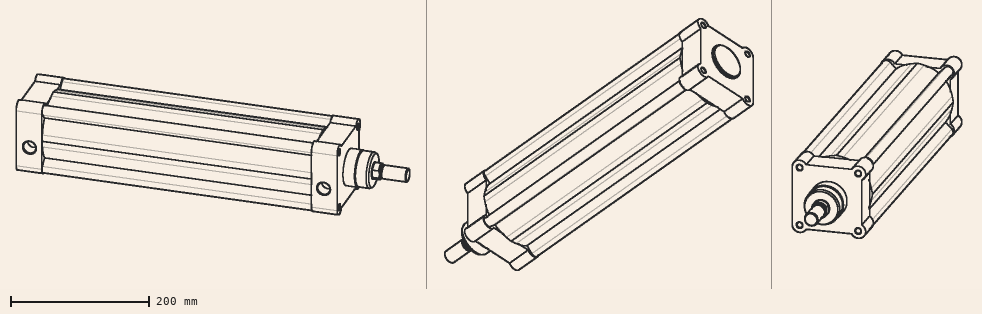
import cadquery as cq
import math


total_length = 582.5
rear_boss_length = 4.0
cap_thickness = 39.0
barrel_length = 410.0
rear_cap_start = rear_boss_length
barrel_start = rear_cap_start + cap_thickness
front_cap_start = barrel_start + barrel_length
nose_start = front_cap_start + cap_thickness

cap_size = 111.5
cap_half = cap_size / 2
corner_offset = 44.0
corner_radius = cap_half - corner_offset
side_recess = 6.0
screw_hole_diameter = 8.0
screw_hole_chamfer = 0.9
screw_hole_depth = 17.5
port_diameter = 18.5
port_chamfer = 1.0
port_depth = 20.5
port_inset = 20.5
port_drop = 12.0

boss_radius = 27.5
rear_boss_chamfer = 2.0
nose_shoulder_chamfer = 1.0
nose_shoulder_length = 18.5
nose_collar_radius = 27.0
nose_collar_length = 20.0
nose_chamfer_length = 3.5
nose_chamfer_depth = 2.0

barrel_diameter = 106.5
barrel_radius = barrel_diameter / 2
ridge_rise = 1.9
ridge_width = 19.0
rib_width = 14.5
rib_offset = 46.5

rod_diameter = 25.0
rod_radius = rod_diameter / 2
rod_end = 532.0
wrench_section_diameter = 24.5
wrench_section_radius = wrench_section_diameter / 2
wrench_section_end = 543.0
wrench_section_chamfer = 2.0
wrench_across_flats = 21.5
relief_length = 2.0
thread_diameter = 20.5
thread_radius = thread_diameter / 2
thread_chamfer = 1.0


def disc(start, radius, length):
    """Cylinder on the main axis, running towards +X."""
    return cq.Workplane("YZ", origin=(start, 0, 0)).circle(radius).extrude(length)


def bar(start, length, y_limits, z_limits):
    """Box given by its start and length in X and its limits in Y and Z."""
    width = y_limits[1] - y_limits[0]
    height = z_limits[1] - z_limits[0]
    origin = (start, y_limits[0], z_limits[0])
    return cq.Workplane("XY", origin=origin).box(length, width, height, centered=False)


def countersunk_hole(mouth, direction, radius, depth, chamfer):
    """Cutter for a blind hole with a 45 degree chamfer at its mouth."""
    inwards = cq.Vector(*direction)
    bore = cq.Solid.makeCylinder(radius, depth, mouth, inwards)
    countersink = cq.Solid.makeCone(radius + chamfer, radius, chamfer, mouth, inwards)
    return cq.Workplane("XY").add(bore.fuse(countersink))


def make_cap_block(start, outer_face, inward):
    """Cap with round corners, recessed on +Y and +/-Z, flat on the port side at -Y."""
    recessed_half = cap_half - side_recess
    corners = [(y, z) for y in (-corner_offset, corner_offset) for z in (-corner_offset, corner_offset)]

    core = bar(start, cap_thickness, (-recessed_half, recessed_half), (-recessed_half, recessed_half))
    port_side = bar(start, cap_thickness, (-cap_half, 0), (-corner_offset, corner_offset))
    lobes = cq.Workplane("YZ", origin=(start, 0, 0)).pushPoints(corners).circle(corner_radius)
    block = core.union(port_side).union(lobes.extrude(cap_thickness))

    for y, z in corners:
        mouth = cq.Vector(outer_face, y, z)
        screw_hole = countersunk_hole(
            mouth, (inward, 0, 0), screw_hole_diameter / 2, screw_hole_depth, screw_hole_chamfer
        )
        block = block.cut(screw_hole)

    mouth = cq.Vector(outer_face + inward * port_inset, -cap_half, -port_drop)
    port = countersunk_hole(mouth, (0, 1, 0), port_diameter / 2, port_depth, port_chamfer)
    return block.cut(port)


def make_rear_cap():
    boss = disc(0, boss_radius, rear_boss_length).faces("<X").chamfer(rear_boss_chamfer)
    return make_cap_block(rear_cap_start, rear_cap_start, 1).union(boss)


def make_front_cap():
    collar_start = nose_start + nose_shoulder_length
    shoulder = disc(nose_start, boss_radius, nose_shoulder_length).faces(">X").chamfer(nose_shoulder_chamfer)
    collar = disc(collar_start, nose_collar_radius, nose_collar_length)
    collar = collar.faces(">X").chamfer(nose_chamfer_length, nose_chamfer_depth)
    bore_length = collar_start + nose_collar_length - front_cap_start
    cap = make_cap_block(front_cap_start, nose_start, -1).union(shoulder).union(collar)
    return cap.cut(disc(front_cap_start, rod_radius, bore_length))


def make_barrel():
    """Round barrel with a shallow roof-shaped ridge on each side and a rib along each corner."""
    barrel = disc(barrel_start, barrel_radius, barrel_length)
    ridge_half_width = ridge_width / 2
    ridge_base = math.sqrt(barrel_radius**2 - ridge_half_width**2)
    ridge_top = ridge_base + ridge_rise
    ridge = (
        cq.Workplane("YZ", origin=(barrel_start, 0, 0))
        .polyline([(0, 0), (ridge_half_width, ridge_base), (0, ridge_top), (-ridge_half_width, ridge_base)])
        .close()
        .extrude(barrel_length)
    )
    rib_radius = rib_width / 2
    rib_reach = rib_offset * math.sqrt(2)
    rib = (
        cq.Workplane("YZ", origin=(barrel_start, 0, 0))
        .moveTo(0, -rib_radius)
        .lineTo(rib_reach, -rib_radius)
        .threePointArc((rib_reach + rib_radius, 0), (rib_reach, rib_radius))
        .lineTo(0, rib_radius)
        .close()
        .extrude(barrel_length)
        .rotate((0, 0, 0), (1, 0, 0), 45)
    )
    for quarter in range(4):
        for feature in (ridge, rib):
            barrel = barrel.union(feature.rotate((0, 0, 0), (1, 0, 0), 90 * quarter))
    return barrel


def make_piston_rod():
    """Rod from the barrel end through the nose, with wrench flats and a threaded end."""
    rod = disc(front_cap_start, rod_radius, rod_end - front_cap_start)

    wrench_length = wrench_section_end - rod_end
    wrench_section = disc(rod_end, wrench_section_radius, wrench_length)
    wrench_section = wrench_section.faces(">X").chamfer(wrench_section_chamfer)
    between_flats = bar(
        rod_end,
        wrench_length,
        (-wrench_across_flats / 2, wrench_across_flats / 2),
        (-wrench_section_radius, wrench_section_radius),
    )
    wrench_section = wrench_section.intersect(between_flats)

    relief = disc(wrench_section_end, thread_radius - thread_chamfer, relief_length)
    thread_start = wrench_section_end + relief_length
    thread = disc(thread_start, thread_radius, total_length - thread_start)
    thread = thread.faces("<X or >X").chamfer(thread_chamfer)

    return rod.union(wrench_section).union(relief).union(thread)


rear_cap = make_rear_cap()
barrel = make_barrel()
front_cap = make_front_cap()
piston_rod = make_piston_rod()

result = cq.Compound.makeCompound([rear_cap.val(), barrel.val(), front_cap.val(), piston_rod.val()])